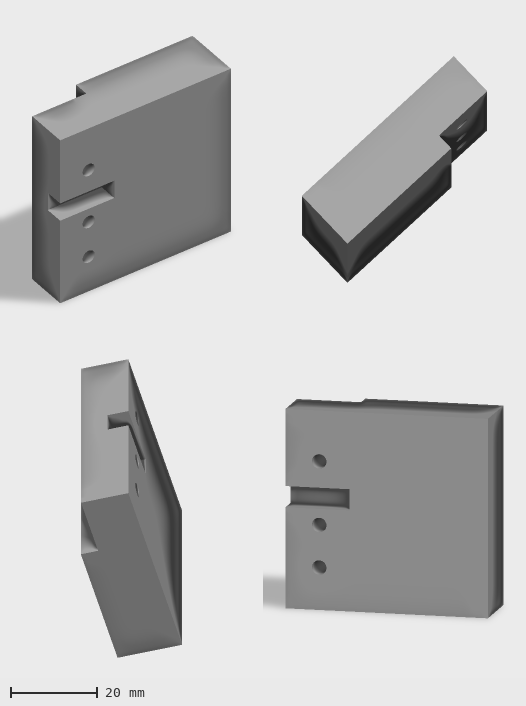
import cadquery as cq

width = 15.4
length = 48.0
height = 47.0

step_depth = 4.15
step_length = 15.2

hole_diameter = 3.4
hole_setback = 8.0
hole_heights = (10.0, 20.0, 35.0)

notch_width = 5.0
notch_height = notch_width
notch_length = step_length
notch_bottom = 23.8


def corner_box(size_x, size_y, size_z, corner):
    """Box whose lowest X, Y, Z corner sits at the given point."""
    return cq.Workplane("XY").box(size_x, size_y, size_z, centered=False).translate(corner)


def flange_holes():
    """Row of round cutters running along X through the whole width."""
    centres = [(hole_setback, z) for z in hole_heights]
    return cq.Workplane("YZ").pushPoints(centres).circle(hole_diameter / 2).extrude(width)


block = corner_box(width, length, height, (0, 0, 0))
rebate = corner_box(step_depth, step_length, height, (0, 0, 0))
notch = corner_box(notch_width, notch_length, notch_height, (width - notch_width, 0, notch_bottom))

result = block.cut(rebate).cut(notch).cut(flange_holes())